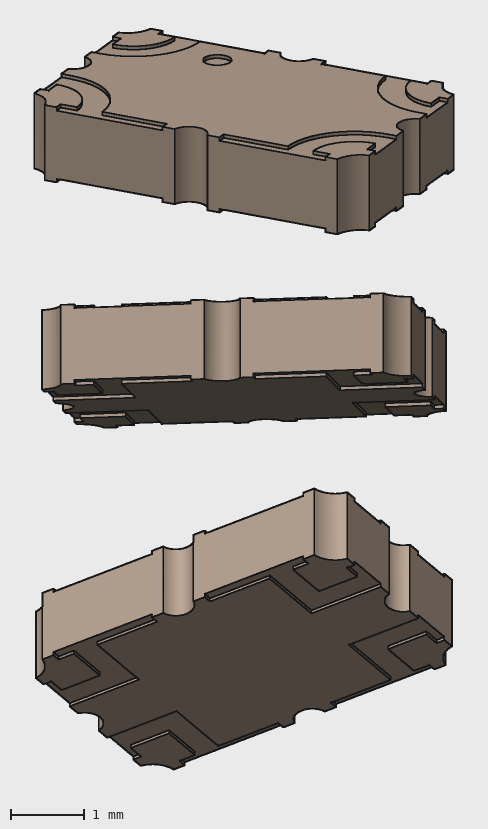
import cadquery as cq

length = 5.08
width = 3.17
height = 1.09

notch_axis_offset = 0.06
edge_notch_radius = 0.255
corner_notch_radius = 0.385

recess_depth = 0.05
ledge_width = 0.125
ledge_start = 0.505
long_ledge_end = 2.11
pad_extent = 0.75
moat_extent = 1.135

marker_x = -0.89
marker_y = 0.955
marker_radius = 0.195

half_length = length / 2
half_width = width / 2


def make_block():
    return cq.Workplane("XY").box(length, width, height, centered=(True, True, False))


def make_notches():
    """Vertical cylinders at the four corners and the middle of each side."""
    axis_x = half_length + notch_axis_offset
    axis_y = half_width + notch_axis_offset
    corners = [(sx * axis_x, sy * axis_y) for sx in (-1, 1) for sy in (-1, 1)]
    side_middles = [(-axis_x, 0), (axis_x, 0), (0, -axis_y), (0, axis_y)]
    corner_cuts = cq.Workplane("XY").pushPoints(corners).circle(corner_notch_radius).extrude(height)
    side_cuts = cq.Workplane("XY").pushPoints(side_middles).circle(edge_notch_radius).extrude(height)
    return corner_cuts.union(side_cuts)


def corner_rectangle(x_start, y_start, x_end, y_end, z_start):
    """Recess-deep box measured inward from the -X, -Y corner of the block."""
    return (
        cq.Workplane("XY")
        .box(x_end - x_start, y_end - y_start, recess_depth, centered=False)
        .translate((x_start - half_length, y_start - half_width, z_start))
    )


def make_ledges(z_start):
    """Narrow steps along the two sides that meet at the -X, -Y corner."""
    long_ledge = corner_rectangle(ledge_start, 0, long_ledge_end, ledge_width, z_start)
    short_ledge = corner_rectangle(0, ledge_start, ledge_width, moat_extent, z_start)
    return long_ledge.union(short_ledge)


def make_top_recess():
    """Quarter-ring moat around the corner pad, joined to the two ledges."""
    z_start = height - recess_depth
    inset = ledge_width
    ring = (
        cq.Workplane("XY")
        .center(inset - half_length, inset - half_width)
        .circle(moat_extent - inset)
        .circle(pad_extent - inset)
        .extrude(recess_depth)
        .translate((0, 0, z_start))
    )
    quadrant = corner_rectangle(inset, inset, moat_extent, moat_extent, z_start)
    return make_ledges(z_start).union(ring.intersect(quadrant))


def make_bottom_recess():
    """L-shaped moat around a square corner pad, joined to the two ledges."""
    inset = ledge_width
    moat = corner_rectangle(inset, inset, moat_extent, moat_extent, 0)
    pad = corner_rectangle(inset, inset, pad_extent, pad_extent, 0)
    return make_ledges(0).union(moat.cut(pad))


def at_all_corners(corner_cut):
    """Mirror a cut at the -X, -Y corner to the other three corners."""
    both_sides = corner_cut.union(corner_cut.mirror("YZ"))
    return both_sides.union(both_sides.mirror("XZ"))


def make_marker():
    return (
        cq.Workplane("XY")
        .center(marker_x, marker_y)
        .circle(marker_radius)
        .extrude(recess_depth)
        .translate((0, 0, height - recess_depth))
    )


result = (
    make_block()
    .cut(make_notches())
    .cut(at_all_corners(make_top_recess()))
    .cut(at_all_corners(make_bottom_recess()))
    .cut(make_marker())
)